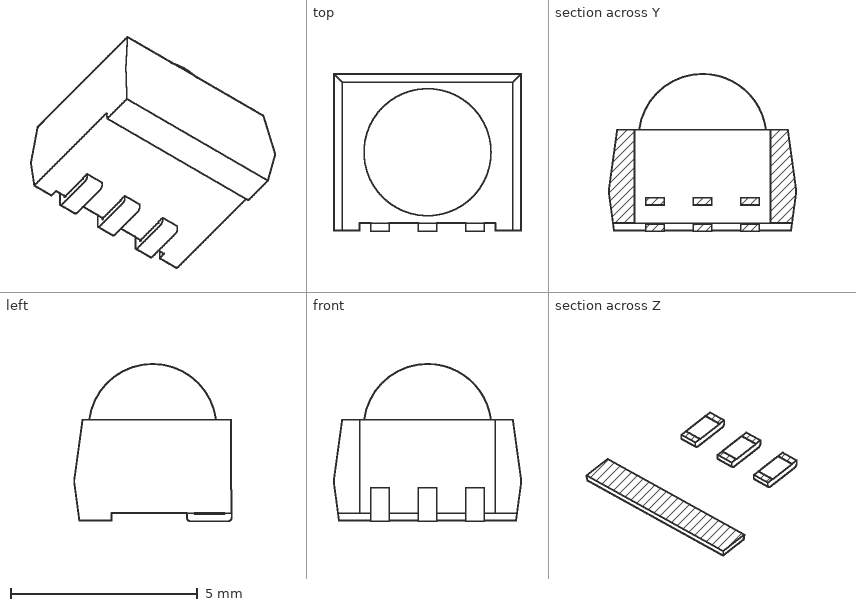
import cadquery as cq

body_width = 5.02
body_depth = 4.2
stand_off = 0.02
waist_bottom_z = 1.025
waist_top_z = 1.125
body_top_z = 2.725
top_inset = 0.22
bottom_inset = 0.135

step = 0.2
recess_width = 3.64
foot_depth = 1.005

total_height = 4.22
dome_radius = 1.715

lead_count = 3
lead_pitch = 1.27
lead_width = 0.5
lead_height = 0.905
lead_depth = 1.205
lead_thickness = 0.2
lead_fillet = 0.1

front_y = -body_depth / 2
back_y = body_depth / 2
lead_front_y = front_y - stand_off
body_bottom_z = stand_off
relief_z = body_bottom_z + step


def box_from(x_size, y_min, y_max, z_min, z_max):
    """Box centred on X that fills the given Y and Z ranges."""
    return (
        cq.Workplane("XY")
        .box(x_size, y_max - y_min, z_max - z_min, centered=(True, False, False))
        .translate((0, y_min, z_min))
    )


def body_section(inset, z):
    """Rectangular wire at height z; the front face stays upright, so only three sides lean in."""
    half_width = body_width / 2 - inset
    corners = [
        (-half_width, front_y, z),
        (half_width, front_y, z),
        (half_width, back_y - inset, z),
        (-half_width, back_y - inset, z),
    ]
    return cq.Wire.makePolygon([cq.Vector(*corner) for corner in corners], close=True)


def make_body():
    """Drafted body with the front recess and the relieved underside cut away."""
    sections = [
        body_section(bottom_inset, body_bottom_z),
        body_section(0, waist_bottom_z),
        body_section(0, waist_top_z),
        body_section(top_inset, body_top_z),
    ]
    body = cq.Workplane(cq.Solid.makeLoft(sections, True))
    recess = box_from(recess_width, front_y, front_y + step, 0, body_top_z)
    relief = box_from(body_width, front_y, back_y - foot_depth, 0, relief_z)
    return body.cut(recess).cut(relief)


def make_dome():
    """Spherical cap standing on the centre of the top face."""
    ball = cq.Workplane("XY").sphere(dome_radius).translate((0, 0, total_height - dome_radius))
    above_top = box_from(body_width, front_y, back_y, waist_top_z, total_height)
    return ball.intersect(above_top)


def make_lead():
    """Bent strip: a loop with rounded outer corners whose top and rear ends are buried in the body."""
    lead_back_y = lead_front_y + lead_depth
    loop = box_from(lead_width, lead_front_y, lead_back_y, 0, lead_height)
    loop = loop.edges("|X").edges("<Y or <Z").fillet(lead_fillet)
    opening = box_from(
        lead_width,
        lead_front_y + lead_thickness,
        lead_back_y - lead_thickness,
        lead_thickness,
        lead_height - lead_thickness,
    )
    return loop.cut(opening)


result = make_body().union(make_dome())
for index in range(lead_count):
    lead_x = (index - (lead_count - 1) / 2) * lead_pitch
    result = result.union(make_lead().translate((lead_x, 0, 0)))